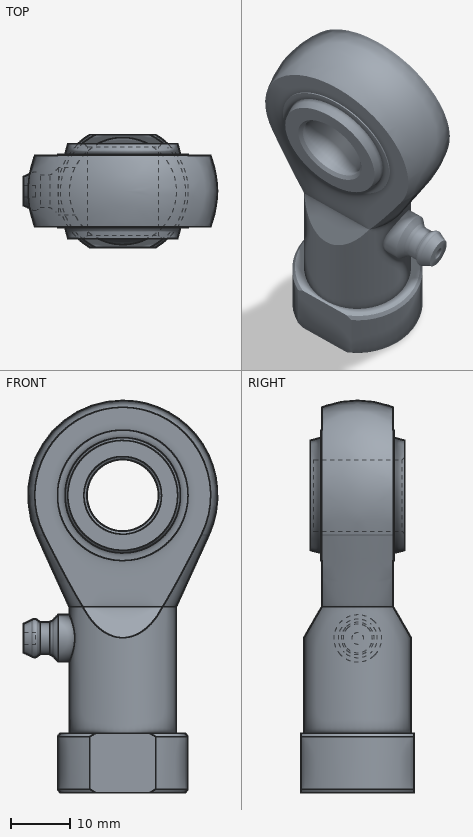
import cadquery as cq
import math

total_height = 66.0
eye_radius = 16.0
eye_z = total_height - eye_radius
eye_half_width = 6.0

shank_radius = 9.01
shank_top_z = 31.3
shoulder_angle = 30.0

collar_radius = 10.99
collar_height = 10.0
collar_half_flats = 9.5
collar_chamfer_radial = 0.45
collar_chamfer_height = 0.6

race_radius = 10.99
race_half_width = 6.2
ball_half_width = 8.0
ball_end_radius = 9.25
ball_root_radius = 9.8
bore_radius = 6.0
bore_chamfer = 0.5

nipple_tip_x = -16.7
nipple_z = 26.0
nipple_tip_radius = 2.45
head_edge_radius = 3.1
head_radius = 3.27
head_start = 1.42
head_middle = 1.9
head_end = 2.4
neck_radius = 2.74
neck_start = 2.805
neck_end = 4.39
blend_radius = 3.05
flare_start = 4.95
base_start = 5.9
base_radius = 3.99
nipple_hole_diameter = 2.0
nipple_hole_depth = 2.0


def make_body():
    """Spherical head and tangent cone on the shank, with the eye sides cut flat."""
    drop = eye_z - shank_top_z
    edge_distance = math.hypot(shank_radius, drop)
    tangent_angle = math.acos(eye_radius / edge_distance) - math.atan2(drop, shank_radius)
    tangent_r = eye_radius * math.cos(tangent_angle)
    tangent_z = eye_z + eye_radius * math.sin(tangent_angle)
    body = (
        cq.Workplane("XZ")
        .lineTo(shank_radius, 0)
        .lineTo(shank_radius, shank_top_z)
        .lineTo(tangent_r, tangent_z)
        .threePointArc((eye_radius, eye_z), (0, total_height))
        .close()
        .revolve(360, (0, 0, 0), (0, 1, 0))
    )
    shoulder_run = shank_radius - eye_half_width
    shoulder_z = shank_top_z - shoulder_run / math.tan(math.radians(shoulder_angle))
    side_outline = (
        cq.Workplane("YZ")
        .polyline([
            (-shank_radius, 0),
            (shank_radius, 0),
            (shank_radius, shoulder_z),
            (eye_half_width, shank_top_z),
            (eye_half_width, total_height),
            (-eye_half_width, total_height),
            (-eye_half_width, shank_top_z),
            (-shank_radius, shoulder_z),
        ])
        .close()
        .extrude(eye_radius, both=True)
    )
    return body.intersect(side_outline)


def make_collar():
    """Round collar with both rims chamfered and two wrench flats."""
    rim_radius = collar_radius - collar_chamfer_radial
    collar = (
        cq.Workplane("XZ")
        .polyline([
            (0, 0),
            (rim_radius, 0),
            (collar_radius, collar_chamfer_height),
            (collar_radius, collar_height - collar_chamfer_height),
            (rim_radius, collar_height),
            (0, collar_height),
        ])
        .close()
        .revolve(360, (0, 0, 0), (0, 1, 0))
    )
    flats = cq.Workplane("XY").box(
        2 * collar_radius, 2 * collar_half_flats, collar_height, centered=(True, True, False)
    )
    return collar.intersect(flats)


def make_bearing():
    """Race and tapered ball ends, solid across the bore."""
    eye_plane = cq.Workplane("XZ", origin=(0, 0, eye_z))
    race = eye_plane.circle(race_radius).extrude(race_half_width, both=True)
    ball = (
        cq.Workplane("XY", origin=(0, 0, eye_z))
        .polyline([
            (0, -ball_half_width),
            (ball_end_radius, -ball_half_width),
            (ball_root_radius, -eye_half_width),
            (ball_root_radius, eye_half_width),
            (ball_end_radius, ball_half_width),
            (0, ball_half_width),
        ])
        .close()
        .revolve(360, (0, 0, 0), (0, 1, 0))
    )
    return race.union(ball)


def make_bore():
    """Through bore with a chamfer at each end."""
    mouth_radius = bore_radius + bore_chamfer
    chamfer_y = ball_half_width - bore_chamfer
    return (
        cq.Workplane("XY", origin=(0, 0, eye_z))
        .polyline([
            (0, -ball_half_width),
            (mouth_radius, -ball_half_width),
            (bore_radius, -chamfer_y),
            (bore_radius, chamfer_y),
            (mouth_radius, ball_half_width),
            (0, ball_half_width),
        ])
        .close()
        .revolve(360, (0, 0, 0), (0, 1, 0))
    )


def make_nipple():
    """Turned grease nipple, running from its tip to the shank axis."""
    nipple = (
        cq.Workplane("XZ", origin=(nipple_tip_x, 0, nipple_z))
        .lineTo(0, nipple_tip_radius)
        .lineTo(head_start, head_edge_radius)
        .threePointArc((head_middle, head_radius), (head_end, blend_radius))
        .lineTo(neck_start, neck_radius)
        .lineTo(neck_end, neck_radius)
        .lineTo(flare_start, blend_radius)
        .lineTo(base_start, base_radius)
        .lineTo(-nipple_tip_x, base_radius)
        .lineTo(-nipple_tip_x, 0)
        .close()
        .revolve(360, (0, 0, 0), (1, 0, 0))
    )
    return nipple.faces("<X").workplane().hole(nipple_hole_diameter, nipple_hole_depth)


result = make_body().union(make_collar()).union(make_bearing()).union(make_nipple()).cut(make_bore())